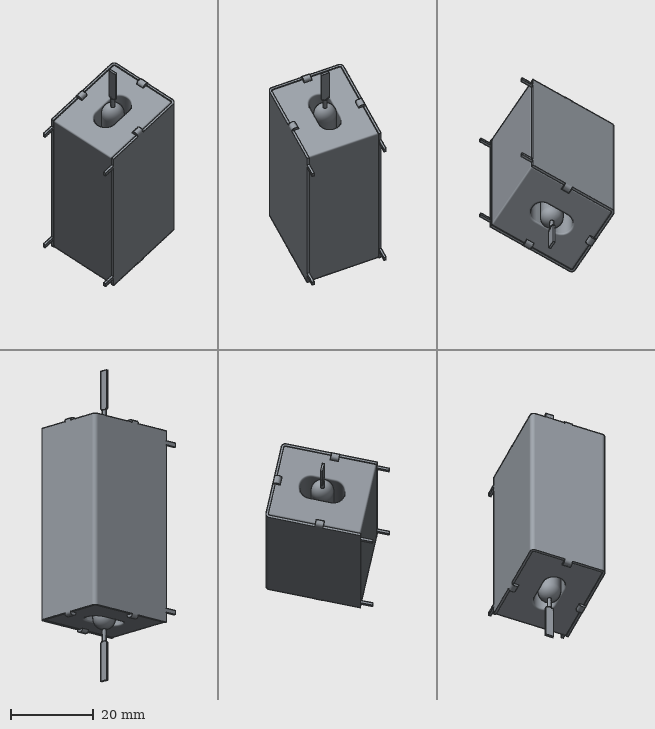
import cadquery as cq
import math

overall_width = 19.5
overall_length = 77.8

sheet = 0.6
wall_height = 48.0
wall_depth = 23.5
outer_bend = 1.0

tab_width = 2.0
tab_reach = 1.9
tab_rise = 0.8

pin_length = 3.0
pin_height = 1.0
pin_offset = 21.0

block_width = overall_width - 2 * sheet
block_depth = wall_depth - sheet
block_edge = outer_bend - sheet

tube_diameter = 5.5
tube_length = 52.05
lead_diameter = 1.0
blade_width = 2.0
blade_thickness = 0.505
blade_length = 9.9
blade_chamfer = 0.4

slot_width = tube_diameter
slot_length = 11.05
slot_edge = 0.43

half_height = wall_height / 2
front_y = -block_depth / 2
back_y = block_depth / 2 + sheet
pin_tip_y = front_y - pin_length
side_tab_y = (back_y + pin_tip_y) / 2


def make_tab():
    """Top tab folded toward +X from a wall whose outer face is at X = 0, centred on Y = 0."""
    top = half_height + tab_rise
    arc_inset = tab_rise * (1 - math.sqrt(0.5))
    return (
        cq.Workplane("XZ")
        .moveTo(0, half_height)
        .threePointArc((arc_inset, top - arc_inset), (tab_rise, top))
        .lineTo(tab_reach - tab_rise, top)
        .threePointArc((tab_reach - arc_inset, top - arc_inset), (tab_reach, half_height))
        .close()
        .extrude(tab_width / 2, both=True)
    )


def make_bracket():
    bracket = (
        cq.Workplane("XY")
        .box(overall_width, wall_depth, wall_height)
        .translate((0, (front_y + back_y) / 2, 0))
        .edges("|Z and >Y")
        .fillet(outer_bend)
    )
    bracket = bracket.cut(block_envelope())

    left_tab = make_tab().translate((-overall_width / 2, side_tab_y, 0))
    right_tab = left_tab.mirror("YZ")
    back_tab = make_tab().rotate((0, 0, 0), (0, 0, 1), -90).translate((0, back_y, 0))
    for tab in (left_tab, right_tab, back_tab):
        bracket = bracket.union(tab).union(tab.mirror("XY"))

    pin_x = (overall_width - sheet) / 2
    for x in (-pin_x, pin_x):
        for z in (-pin_offset, pin_offset):
            pin = cq.Workplane("XY").box(sheet, pin_length, pin_height)
            bracket = bracket.union(pin.translate((x, front_y - pin_length / 2, z)))
    return bracket


def block_envelope():
    """Space inside the bracket walls, with its back corners rounded by the bends."""
    return (
        cq.Workplane("XY")
        .box(block_width, block_depth, wall_height)
        .edges("|Z and >Y")
        .fillet(block_edge)
    )


def make_block():
    block = cq.Workplane("XY").box(block_width, block_depth, wall_height).edges().fillet(block_edge)
    slot = cq.Workplane("XY").slot2D(slot_length, slot_width, 90).extrude(half_height, both=True)
    block = block.cut(slot)
    slot_rims = cq.selectors.BoxSelector(
        (-slot_width, -slot_length, -wall_height), (slot_width, slot_length, wall_height)
    )
    return block.faces("<Z or >Z").edges(slot_rims).fillet(slot_edge)


def make_lead():
    """Lead at the top end: round wire from inside the tube end, carrying a flat blade."""
    wire_start = (tube_length - tube_diameter) / 2
    blade_start = overall_length / 2 - blade_length
    wire = (
        cq.Workplane("XY", origin=(0, 0, wire_start))
        .circle(lead_diameter / 2)
        .extrude(blade_start - wire_start)
    )
    blade = (
        cq.Workplane("XY", origin=(0, 0, blade_start))
        .rect(blade_width, blade_thickness)
        .extrude(blade_length)
        .edges("|Y and <Z")
        .chamfer(blade_chamfer)
    )
    return wire.union(blade)


def make_lamp():
    radius = tube_diameter / 2
    shoulder = tube_length / 2 - radius
    arc_mid = radius * math.sqrt(0.5)
    tube = (
        cq.Workplane("XZ")
        .moveTo(0, -tube_length / 2)
        .threePointArc((arc_mid, -shoulder - arc_mid), (radius, -shoulder))
        .lineTo(radius, shoulder)
        .threePointArc((arc_mid, shoulder + arc_mid), (0, tube_length / 2))
        .close()
        .revolve(360, (0, 0, 0), (0, 1, 0))
    )
    lead = make_lead()
    return tube.union(lead).union(lead.mirror("XY"))


bracket = make_bracket()
block = make_block()
lamp = make_lamp()

result = cq.Compound.makeCompound([bracket.val(), block.val(), lamp.val()])